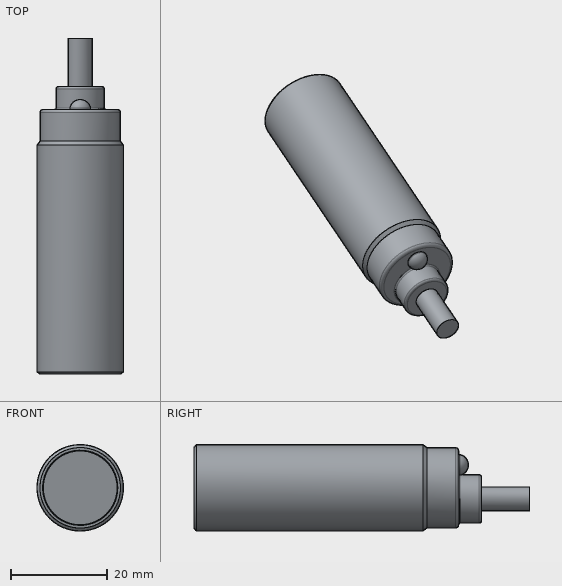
import cadquery as cq

total_length = 69.9
body_radius = 9.0
neck_radius = 8.4
gland_radius = 5.0
cable_radius = 2.5
gland_drop = 2.3

gland_end = total_length - 10.0
neck_end = gland_end - 4.75
body_end = neck_end - 6.65

front_chamfer_length = 0.5
front_chamfer_depth = 0.6
shoulder_chamfer_length = 0.85
neck_rounding = 0.7
gland_rounding = 0.5
root_rounding = 0.3

groove_outer_radius = 7.8
groove_width = 0.15
groove_depth = 0.15

lens_radius = 2.2
lens_rim = 0.3
lens_dome = 1.75
lens_height = 4.75


def revolve_about_y(profile):
    """Full turn of a half profile that lies against the Y axis."""
    return profile.close().revolve(360, (0, 0, 0), (0, 1, 0))


def body():
    """Main barrel with its narrower neck."""
    profile = (
        cq.Workplane("XY")
        .lineTo(body_radius - front_chamfer_depth, 0)
        .lineTo(body_radius, front_chamfer_length)
        .lineTo(body_radius, body_end - shoulder_chamfer_length)
        .lineTo(neck_radius, body_end)
        .lineTo(neck_radius, neck_end - neck_rounding)
        .radiusArc((neck_radius - neck_rounding, neck_end), -neck_rounding)
        .lineTo(0, neck_end)
    )
    return revolve_about_y(profile)


def gland_and_cable():
    """Cable gland, flared at its root, with the cable stub leaving it."""
    profile = (
        cq.Workplane("XY")
        .moveTo(0, neck_end)
        .lineTo(gland_radius + root_rounding, neck_end)
        .radiusArc((gland_radius, neck_end + root_rounding), root_rounding)
        .lineTo(gland_radius, gland_end - gland_rounding)
        .radiusArc((gland_radius - gland_rounding, gland_end), -gland_rounding)
        .lineTo(cable_radius, gland_end)
        .lineTo(cable_radius, total_length)
        .lineTo(0, total_length)
    )
    return revolve_about_y(profile).translate((0, 0, -gland_drop))


def indicator_lens():
    """Short cylindrical rim capped by a shallow spherical dome."""
    rim_end = neck_end + lens_rim
    dome_sphere_radius = (lens_radius**2 + lens_dome**2) / (2 * lens_dome)
    profile = (
        cq.Workplane("XY")
        .moveTo(0, neck_end)
        .lineTo(lens_radius, neck_end)
        .lineTo(lens_radius, rim_end)
        .radiusArc((0, rim_end + lens_dome), -dome_sphere_radius)
    )
    return revolve_about_y(profile).translate((0, 0, lens_height))


def face_groove():
    """Ring that separates the sensing face from the body rim."""
    return (
        cq.Workplane("XZ")
        .circle(groove_outer_radius)
        .circle(groove_outer_radius - groove_width)
        .extrude(-groove_depth)
    )


result = body().cut(face_groove()).union(gland_and_cable()).union(indicator_lens())